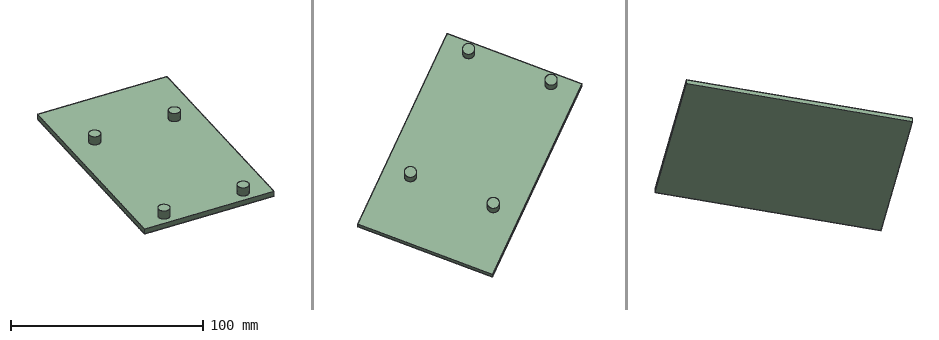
import cadquery as cq

plate_length = 120.6
plate_width = 76.1
plate_thickness = 3.1

overall_height = 8.2
pin_diameter = 6.4
pin_height = overall_height - plate_thickness

pin_centres = [
    (36.3, 14.7),
    (36.3, 61.5),
    (114.2, 14.7),
    (114.2, 61.3),
]

plate = cq.Workplane("XY").box(plate_length, plate_width, plate_thickness, centered=False)

pins = (
    cq.Workplane("XY", origin=(0, 0, plate_thickness))
    .pushPoints(pin_centres)
    .circle(pin_diameter / 2)
    .extrude(pin_height)
)

result = plate.union(pins)